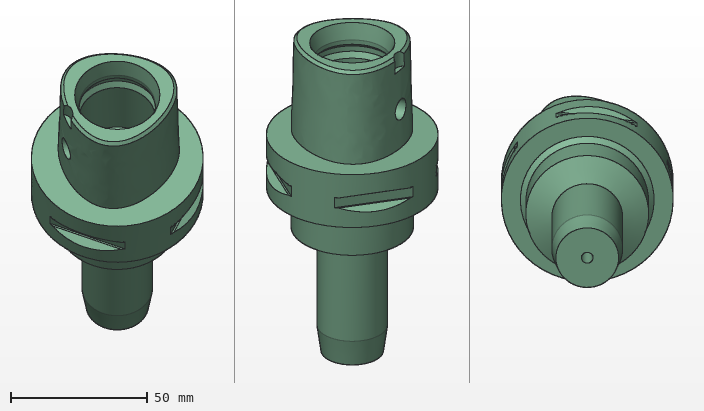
import cadquery as cq
import math

shank_length = 38.0
total_length = 128.0
z_shank_top = shank_length
z_tip = shank_length - total_length

base_mean_radius = 22.1
eccentricity = 1.35
trilobe_points = 36
taper_per_side = 1.0 / 40.0
shank_edge_break = 1.15

flange_radius = 31.5
flange_height = 22.0
collar_radius = 22.5
collar_cone = 2.0
collar_bottom_z = -38.4
nose_radius = 13.0
nose_start_z = -42.6
tip_start_z = -79.3
tip_radius = 11.5

slot_z = -12.0
slot_floor_width = 4.2
slot_floor_distance = 27.7
slot_wall_height = 0.7
slot_flank_angle = 30.0
slot_angles = (45, 135, 225, 315)

bore_mouth_radius = 15.6
bore_radius = 14.0
mouth_cone_depth = 6.4
groove_radius = 15.5
groove_start_depth = 8.2
groove_top_cone = 1.5
groove_floor_end_depth = 11.9
groove_end_depth = 14.0
bore_depth = 38.0
thread_bore_radius = 9.1
thread_bore_depth = 60.0
coolant_radius = 2.1

notch_radius = 4.4
notch_depth = 6.3
notch_inner_y = -17.9
side_hole_radius = 4.1
side_hole_depth_from_end = 22.5
side_hole_end_wall = 0.2
side_hole_floor_y = -(bore_radius + side_hole_end_wall)


def trilobe(mean_radius, z):
    """Closed three-lobed wire, one lobe pointing to +Y."""
    points = []
    for index in range(trilobe_points):
        angle = 2 * math.pi * index / trilobe_points
        x = mean_radius * math.sin(angle) - eccentricity * math.sin(2 * angle)
        y = mean_radius * math.cos(angle) + eccentricity * math.cos(2 * angle)
        points.append(cq.Vector(x, y, z))
    return cq.Wire.assembleEdges([cq.Edge.makeSpline(points, periodic=True)])


def shank_segment(radius_low, z_low, radius_high, z_high):
    wires = [trilobe(radius_low, z_low), trilobe(radius_high, z_high)]
    return cq.Workplane(cq.Solid.makeLoft(wires, True))


def shank():
    """Tapered trilobe with a 45 degree edge break at its free end."""
    z_break = z_shank_top - shank_edge_break
    break_radius = base_mean_radius - taper_per_side * z_break
    end_radius = break_radius - shank_edge_break
    taper = shank_segment(base_mean_radius, 0, break_radius, z_break)
    edge = shank_segment(break_radius, z_break, end_radius, z_shank_top)
    return taper.union(edge)


def revolve_profile(points):
    return cq.Workplane("XZ").polyline(points).close().revolve(360, (0, 0, 0), (0, 1, 0))


def turned_body():
    """Flange, collar and slender nose."""
    return revolve_profile([
        (0, 0),
        (flange_radius, 0),
        (flange_radius, -flange_height),
        (collar_radius + collar_cone, -flange_height),
        (collar_radius, -flange_height - collar_cone),
        (collar_radius, collar_bottom_z),
        (nose_radius, nose_start_z),
        (nose_radius, tip_start_z),
        (tip_radius, z_tip),
        (0, z_tip),
    ])


def bore():
    """Conical mouth, undercut groove, stepped bore and coolant passage."""

    def at(radius, depth):
        return (radius, z_shank_top - depth)

    return revolve_profile([
        at(0, 0),
        at(bore_mouth_radius, 0),
        at(bore_radius, mouth_cone_depth),
        at(bore_radius, groove_start_depth),
        at(groove_radius, groove_start_depth + groove_top_cone),
        at(groove_radius, groove_floor_end_depth),
        at(bore_radius, groove_end_depth),
        at(bore_radius, bore_depth),
        at(thread_bore_radius, bore_depth),
        at(thread_bore_radius, thread_bore_depth),
        at(coolant_radius, thread_bore_depth),
        at(coolant_radius, total_length),
        at(0, total_length),
    ])


def gripper_slot(angle):
    """Straight slot across the flange rim: flat floor, short square walls, flared flanks."""
    flank_start = slot_floor_distance + slot_wall_height
    flank_depth = flange_radius - flank_start
    half_floor = slot_floor_width / 2
    half_mouth = half_floor + flank_depth * math.tan(math.radians(slot_flank_angle))
    profile = [
        (slot_floor_distance, slot_z - half_floor),
        (flank_start, slot_z - half_floor),
        (flange_radius, slot_z - half_mouth),
        (flange_radius, slot_z + half_mouth),
        (flank_start, slot_z + half_floor),
        (slot_floor_distance, slot_z + half_floor),
    ]
    cutter = cq.Workplane("XZ").polyline(profile).close().extrude(flange_radius, both=True)
    return cutter.rotate((0, 0, 0), (0, 0, 1), angle)


def key_notch():
    """Round-backed notch open to the shank end."""
    return (
        cq.Workplane("XY")
        .workplane(offset=z_shank_top - notch_depth)
        .center(0, notch_inner_y - notch_radius)
        .circle(notch_radius)
        .extrude(notch_depth)
    )


def side_hole():
    """Blind flat-bottomed hole entering the shank from -Y."""
    return (
        cq.Workplane("XZ", origin=(0, side_hole_floor_y, 0))
        .center(0, z_shank_top - side_hole_depth_from_end)
        .circle(side_hole_radius)
        .extrude(flange_radius + side_hole_floor_y)
    )


result = turned_body().union(shank()).cut(bore()).cut(key_notch()).cut(side_hole())
for slot_angle in slot_angles:
    result = result.cut(gripper_slot(slot_angle))